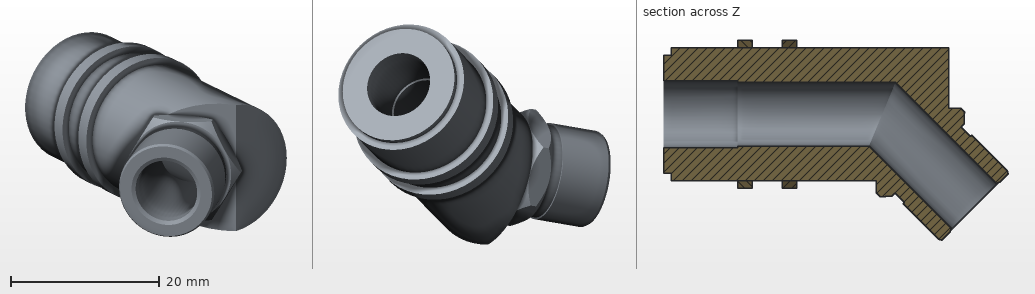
import cadquery as cq
import math

barrel_diameter = 18.0
barrel_end_x = 38.5
nose_diameter = 16.0
nose_length = 1.0

band_diameter = 20.0
band_width = 2.0
band_start_positions = [10.0, 16.0]

bend_angle = 45.0
elbow_x = 29.5
seat_distance = 5.75
hex_across_flats = 14.0
hex_thickness = 2.98
neck_diameter = 12.65
neck_length = 1.75
spigot_diameter = 13.15
spigot_length = 7.2
spigot_chamfer_length = 0.4
spigot_chamfer_depth = 0.25

bore_diameter = 8.5
inlet_diameter = 9.0
inlet_depth = band_start_positions[0]
bore_chamfer_length = 0.25
bore_chamfer_depth = 0.5

hex_corner_radius = hex_across_flats / math.sqrt(3)
hex_chamfer = hex_corner_radius - hex_across_flats / 2
spigot_start = hex_thickness + neck_length
outlet_length = spigot_start + spigot_length
outlet_direction = cq.Vector(
    math.cos(math.radians(bend_angle)), -math.sin(math.radians(bend_angle)), 0
)
elbow_point = cq.Vector(elbow_x, 0, 0)
seat_center = elbow_point + outlet_direction * seat_distance
outlet_end = seat_center + outlet_direction * outlet_length


def outlet_plane(origin):
    """Plane square to the outlet axis, with its local X level in the XY plane."""
    level = cq.Vector(0, 0, 1).cross(outlet_direction)
    return cq.Plane(origin=origin, xDir=level, normal=outlet_direction)


def x_cylinder(diameter, start_x, end_x):
    """Cylinder on the X axis between two X positions."""
    return (
        cq.Workplane("YZ", origin=(start_x, 0, 0))
        .circle(diameter / 2)
        .extrude(end_x - start_x)
    )


def make_barrel():
    """Stepped barrel, cut off at its far end by the slanted seat face."""
    nose = x_cylinder(nose_diameter, 0, nose_length)
    barrel = x_cylinder(barrel_diameter, nose_length, barrel_end_x)
    waste_size = 2 * barrel_end_x
    waste = cq.Workplane(outlet_plane(seat_center)).rect(waste_size, waste_size).extrude(waste_size)
    return nose.union(barrel.cut(waste))


def make_hexagon():
    """Hexagon on the seat face, its corners chamfered at 45 degrees on both sides."""
    hexagon = (
        cq.Workplane(outlet_plane(seat_center))
        .polygon(6, 2 * hex_corner_radius)
        .extrude(hex_thickness)
    )
    chamfered_disc = (
        cq.Workplane(outlet_plane(seat_center))
        .circle(hex_corner_radius)
        .extrude(hex_thickness)
        .edges()
        .chamfer(hex_chamfer)
    )
    return hexagon.intersect(chamfered_disc)


def make_spigot():
    """Plain spigot with a narrower neck behind it and a chamfered end."""
    neck_start = seat_center + outlet_direction * hex_thickness
    neck = cq.Workplane(outlet_plane(neck_start)).circle(neck_diameter / 2).extrude(neck_length)
    spigot = (
        cq.Workplane(outlet_plane(seat_center + outlet_direction * spigot_start))
        .circle(spigot_diameter / 2)
        .extrude(spigot_length)
    )
    return neck.union(spigot.intersect(spigot_end_envelope()))


def spigot_end_envelope():
    """Cone that trims the end edge of the spigot to its chamfer."""
    end_radius = spigot_diameter / 2 - spigot_chamfer_depth
    start_radius = end_radius + spigot_length * spigot_chamfer_depth / spigot_chamfer_length
    base = outlet_end - outlet_direction * spigot_length
    return cq.Workplane(
        cq.Solid.makeCone(start_radius, end_radius, spigot_length, base, outlet_direction)
    )


def make_passage():
    """Mitred bore with a wider inlet and a chamfered outlet mouth."""
    path = cq.Workplane("XY").polyline([(0, 0), (elbow_x, 0), (outlet_end.x, outlet_end.y)])
    bore = cq.Workplane("YZ").circle(bore_diameter / 2).sweep(path, transition="right")
    inlet = x_cylinder(inlet_diameter, 0, inlet_depth)
    mouth = cq.Solid.makeCone(
        bore_diameter / 2 + bore_chamfer_depth,
        bore_diameter / 2,
        bore_chamfer_length,
        outlet_end,
        outlet_direction * -1,
    )
    return bore.union(inlet).union(cq.Workplane(mouth))


def make_elbow():
    """Elbow body: barrel, hexagon and spigot in one piece, bored through."""
    outside = make_barrel().union(make_hexagon()).union(make_spigot())
    return outside.cut(make_passage()).solids()


def make_band(start_x):
    """Plain band that fits around the barrel."""
    end_x = start_x + band_width
    return x_cylinder(band_diameter, start_x, end_x).cut(x_cylinder(barrel_diameter, start_x, end_x))


elbow = make_elbow()
bands = [make_band(start_x) for start_x in band_start_positions]

result = cq.Compound.makeCompound([elbow.val(), *[band.val() for band in bands]])